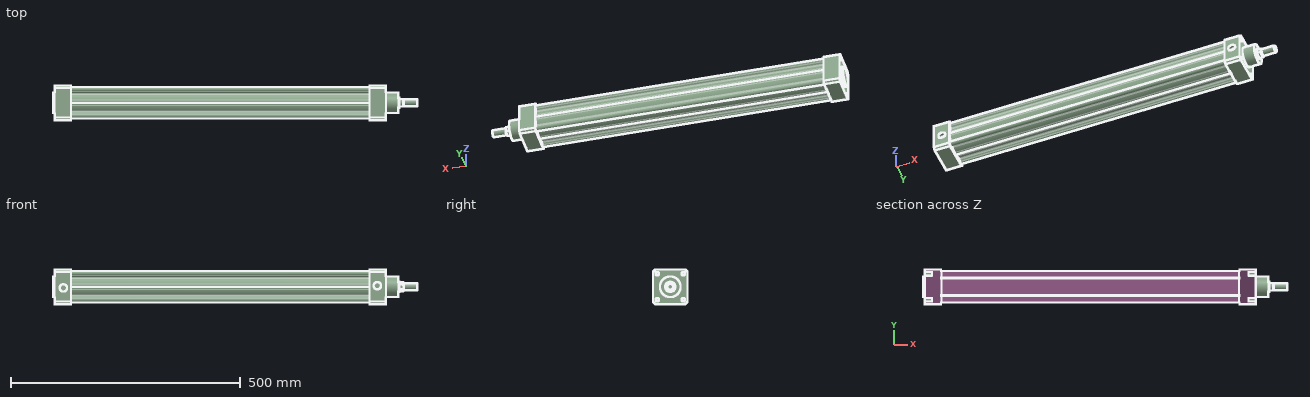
import cadquery as cq
import math

total_length = 794.0
rear_spigot_projection = 4.0
cover_length = 36.0
barrel_length = 649.0
neck_length = 27.0
collar_length = 2.0
shoulder_gap = 10.0

rear_end = -total_length / 2
front_end = total_length / 2
rear_cover_start = rear_end + rear_spigot_projection
barrel_start = rear_cover_start + cover_length
barrel_end = barrel_start + barrel_length
neck_start = barrel_end + cover_length
neck_end = neck_start + neck_length
collar_end = neck_end + collar_length
shoulder = neck_end + shoulder_gap

cover_side = 76.0
cover_corner_radius = 50.0
spigot_radius = 22.5
spigot_chamfer = 1.0
screw_pitch = 56.5
screw_hole_radius = 3.75
screw_hole_depth = 16.0
port_radius = 8.0
port_depth = 12.0
port_inset = 19.0
port_offset = 2.4
collar_radius = 11.0

core_radius = 34.0
ridge_half_width = 6.0
lobe_radius = 6.0
lobe_offset = 28.65
lobe_fillet = 2.0

rod_radius = 10.0
rod_shoulder_chamfer = 2.0
thread_radius = rod_radius - rod_shoulder_chamfer
thread_end_chamfer = 1.5
across_flats = 17.0


def disc(start, end, radius):
    """A cylinder along X between two positions."""
    return cq.Workplane("YZ").workplane(offset=start).circle(radius).extrude(end - start)


def section_plane(angle):
    """The YZ plane at the rear end of the barrel, turned about X."""
    return cq.Workplane("YZ").workplane(offset=barrel_start).transformed(rotate=(0, 0, angle))


def make_lobe(angle):
    """A rounded radial rib, flared by a fillet where it meets the core."""
    reach = lobe_offset * math.sqrt(2)
    tip = reach + lobe_radius
    fillet_y = lobe_radius + lobe_fillet
    fillet_x = math.sqrt((core_radius + lobe_fillet) ** 2 - fillet_y**2)
    scale_to_core = core_radius / (core_radius + lobe_fillet)
    foot_x = fillet_x * scale_to_core
    foot_y = fillet_y * scale_to_core
    foot_angle = math.atan2(foot_y - fillet_y, foot_x - fillet_x)
    side_angle = -math.pi / 2
    mid_angle = (foot_angle + side_angle) / 2
    mid_x = fillet_x + lobe_fillet * math.cos(mid_angle)
    mid_y = fillet_y + lobe_fillet * math.sin(mid_angle)
    return (
        section_plane(angle)
        .moveTo(0, -foot_y)
        .lineTo(foot_x, -foot_y)
        .threePointArc((mid_x, -mid_y), (fillet_x, -lobe_radius))
        .lineTo(reach, -lobe_radius)
        .threePointArc((tip, 0), (reach, lobe_radius))
        .lineTo(fillet_x, lobe_radius)
        .threePointArc((mid_x, mid_y), (foot_x, foot_y))
        .lineTo(0, foot_y)
        .close()
        .extrude(barrel_length)
    )


def make_ridge(angle):
    """A low ridge whose two faces leave the core tangentially and meet in a crest."""
    edge_x = math.sqrt(core_radius**2 - ridge_half_width**2)
    crest_x = core_radius**2 / edge_x
    return (
        section_plane(angle)
        .polyline([(0, 0), (edge_x, -ridge_half_width), (crest_x, 0), (edge_x, ridge_half_width)])
        .close()
        .extrude(barrel_length)
    )


def make_barrel():
    """A round body with a ridge on each side and a lobe at each corner."""
    body = disc(barrel_start, barrel_end, core_radius)
    for quarter in range(4):
        body = body.union(make_ridge(90 * quarter))
        body = body.union(make_lobe(90 * quarter + 45))
    return body


def make_cover_block(start, outer_face, inward, port_z):
    """A square cover with four screw holes in its outer face and a port in its -Y side."""
    block = (
        cq.Workplane("YZ")
        .workplane(offset=start)
        .rect(cover_side, cover_side)
        .extrude(cover_length)
        .intersect(disc(start, start + cover_length, cover_corner_radius))
    )
    screw_holes = (
        cq.Workplane("YZ")
        .workplane(offset=outer_face)
        .rect(screw_pitch, screw_pitch, forConstruction=True)
        .vertices()
        .circle(screw_hole_radius)
        .extrude(inward * screw_hole_depth)
    )
    port = (
        cq.Workplane("XZ", origin=(outer_face + inward * port_inset, -cover_side / 2, port_z))
        .circle(port_radius)
        .extrude(-port_depth)
    )
    return block.cut(screw_holes).cut(port)


def make_rear_cover():
    """The closed cover with a short centring spigot."""
    block = make_cover_block(rear_cover_start, rear_cover_start, 1, -port_offset)
    spigot = disc(rear_end, rear_cover_start, spigot_radius).faces("<X").chamfer(spigot_chamfer)
    return block.union(spigot)


def make_front_cover():
    """The cover with the neck and collar that guide the piston rod."""
    block = make_cover_block(barrel_end, neck_start, -1, port_offset)
    neck = disc(neck_start, neck_end, spigot_radius)
    collar = disc(neck_end, collar_end, collar_radius)
    return block.union(neck).union(collar).cut(disc(barrel_end, collar_end, rod_radius))


def make_piston_rod():
    """A turned rod with a shoulder, a threaded end and two wrench flats."""
    rod = (
        cq.Workplane("XZ")
        .moveTo(barrel_end, 0)
        .lineTo(barrel_end, rod_radius)
        .lineTo(shoulder, rod_radius)
        .lineTo(shoulder + rod_shoulder_chamfer, thread_radius)
        .lineTo(front_end - thread_end_chamfer, thread_radius)
        .lineTo(front_end, thread_radius - thread_end_chamfer)
        .lineTo(front_end, 0)
        .close()
        .revolve(360, (0, 0, 0), (1, 0, 0))
    )
    flat_depth = rod_radius - across_flats / 2
    flat_length = shoulder + rod_shoulder_chamfer - collar_end
    for side in (-1, 1):
        flat_centre = (collar_end + flat_length / 2, side * (across_flats + flat_depth) / 2, 0)
        cutter = cq.Workplane("XY").box(flat_length, flat_depth, 2 * rod_radius).translate(flat_centre)
        rod = rod.cut(cutter)
    return rod


barrel = make_barrel()
rear_cover = make_rear_cover()
front_cover = make_front_cover()
rod = make_piston_rod()

result = cq.Compound.makeCompound([barrel.val(), rear_cover.val(), front_cover.val(), rod.val()])